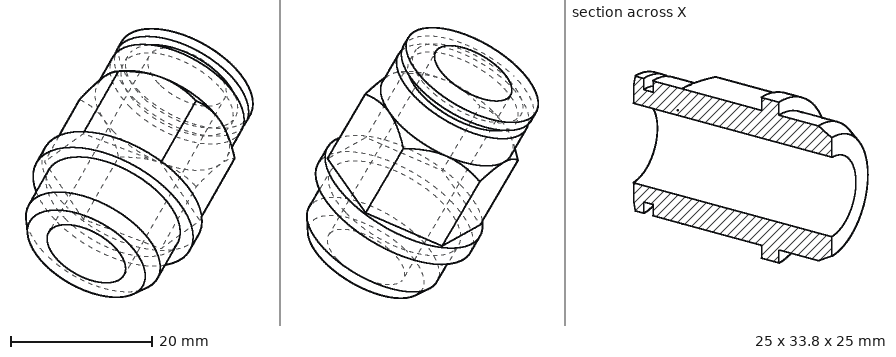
import cadquery as cq
import math


body_diameter = 21.0
flange_diameter = 25.0
groove_diameter = 17.5
bore_diameter = 12.27
spigot_tip_diameter = 18.42
collar_tip_diameter = 17.78

hex_corner_diameter = body_diameter / math.cos(math.pi / 6)

spigot_chamfer_end = 2.25
flange_start = 9.0
flange_end = 12.0
hex_end = 25.5
groove_start = 30.5
groove_end = 32.0
collar_chamfer_start = 33.5
total_length = 33.8


def cylinder(diameter, start, end):
    """Solid cylinder on the Y axis between two stations."""
    return (
        cq.Workplane("XZ", origin=(0, start, 0))
        .circle(diameter / 2)
        .extrude(start - end)
    )


def turned(profile):
    """Revolve a closed (radius, station) profile about the Y axis."""
    return cq.Workplane("XY").polyline(profile).close().revolve(360, (0, 0, 0), (0, 1, 0))


def turned_body():
    """Spigot, flange, neck, release groove and end collar."""
    body_radius = body_diameter / 2
    flange_radius = flange_diameter / 2
    groove_radius = groove_diameter / 2
    return turned([
        (0, 0),
        (spigot_tip_diameter / 2, 0),
        (body_radius, spigot_chamfer_end),
        (body_radius, flange_start),
        (flange_radius, flange_start),
        (flange_radius, flange_end),
        (body_radius, flange_end),
        (body_radius, groove_start),
        (groove_radius, groove_start),
        (groove_radius, groove_end),
        (body_radius, groove_end),
        (body_radius, collar_chamfer_start),
        (collar_tip_diameter / 2, total_length),
        (0, total_length),
    ])


def wrench_hex():
    """Hexagon with corners on X, its far corners turned off at 45 degrees."""
    body_radius = body_diameter / 2
    corner_radius = hex_corner_diameter / 2
    chamfer_start = hex_end - (corner_radius - body_radius)
    prism = (
        cq.Workplane("XZ", origin=(0, flange_end, 0))
        .polygon(6, hex_corner_diameter)
        .extrude(flange_end - hex_end)
    )
    envelope = turned([
        (0, flange_end),
        (corner_radius, flange_end),
        (corner_radius, chamfer_start),
        (body_radius, hex_end),
        (0, hex_end),
    ])
    return prism.intersect(envelope)


bore = cylinder(bore_diameter, 0, total_length)
result = turned_body().union(wrench_hex()).cut(bore)